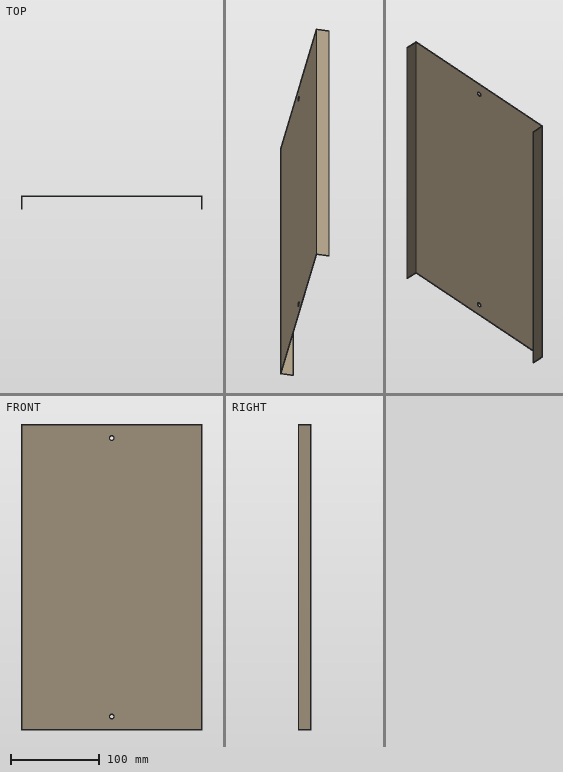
import cadquery as cq

width = 203.2
depth = 14.6
height = 343.0
sheet_thickness = 0.6

hole_diameter = 5.0
hole_edge_distance = 15.0


def channel():
    """Flat web at the +Y side with a flange along each long edge, toward -Y."""
    outer = cq.Workplane("XY").box(width, depth, height)
    inner_width = width - 2 * sheet_thickness
    cavity = (
        cq.Workplane("XY")
        .box(inner_width, depth, height)
        .translate((0, -sheet_thickness, 0))
    )
    return outer.cut(cavity)


def mounting_holes():
    """Cutters through the web, one near each end."""
    hole_offset = height / 2 - hole_edge_distance
    return (
        cq.Workplane("XZ")
        .pushPoints([(0, hole_offset), (0, -hole_offset)])
        .circle(hole_diameter / 2)
        .extrude(depth, both=True)
    )


result = channel().cut(mounting_holes())